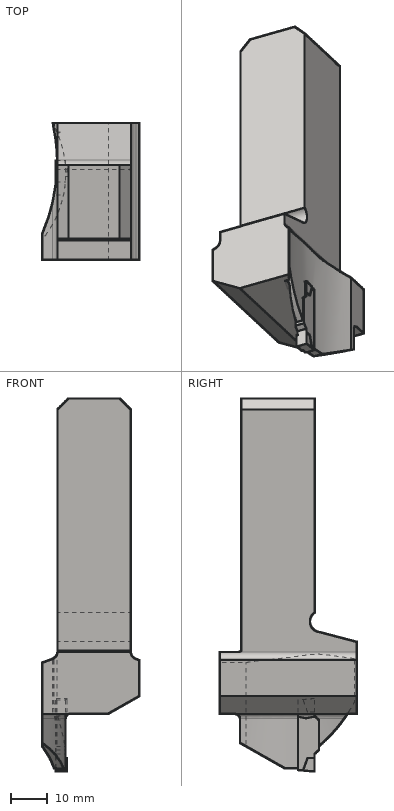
import cadquery as cq
import math

SHANK_WIDTH = 20.0
SHANK_HALF = SHANK_WIDTH / 2
TOP_Z = 101.5
TOP_CHAMFER = 3.0

HEAD_LEFT = -14.1
HEAD_RIGHT = HEAD_LEFT + 26.4
HEAD_BACK = 21.4
HEAD_FRONT = HEAD_BACK - 37.3
HEAD_BOTTOM = 15.7
SHOULDER_Z = 31.2
SHOULDER_SLOPE = math.tan(math.radians(20))
SHOULDER_FILLET = 2.0
LEDGE_Z = 32.6
LEDGE_CHAMFER = 0.5
LEDGE_CHAMFER_HEIGHT = 0.3
CORNER_BEVEL_X = 3.9
CORNER_BEVEL_Z = 20.5

NOTCH_TOP_Z = 43.2
NOTCH_DEEPEST = (8.7, 41.0)
NOTCH_END = (11.4, 38.0)
BACK_TOP_Z = 35.3

OUTER_RADIUS = 48.4
OUTER_APEX = (-10.1, 10.7)
INNER_RADIUS = 28.4
INNER_APEX = (-7.7, 7.6)
BLADE_FRONT = -10.4
BLADE_FRONT_Z = 7.8
BLADE_TIP_Z = 0.9
BLADE_TIP_Y = 1.8
BLADE_BACK = 20.8
BLADE_BACK_Z = 19.0
BLADE_BELLY = (15.0, 10.7)
ROOT_FILLET = 1.2

INSERT_LENGTH = 19.9
INSERT_LEFT = -10.5
INSERT_RIGHT = -7.7
INSERT_SEAT = 5.4
INSERT_RAKE = 9.9
INSERT_CREST = 11.2
CREST_FROM_END = 5.9
CREST_RISE_LENGTH = 1.1
END_RELIEF = 0.4
TIP_LEFT = -10.6
TIP_RIGHT = -7.4
TIP_LENGTH = 3.7
TIP_FLANK_INNER = 8.0
TIP_FLANK_OUTER = 6.8


def side_prism(outline, x_start, x_end):
    """Extrude a closed YZ outline between two X positions."""
    return outline.extrude(x_end - x_start).translate((x_start, 0, 0))


def vertical_cylinder(radius, apex):
    """Full-height cylinder whose +X extreme is at the apex."""
    return cq.Workplane("XY").center(apex[0] - radius, apex[1]).circle(radius).extrude(TOP_Z)


def make_shank_and_head():
    left_drop = (-SHANK_HALF - HEAD_LEFT) * SHOULDER_SLOPE
    right_drop = (HEAD_RIGHT - SHANK_HALF) * SHOULDER_SLOPE
    front_shape = (
        cq.Workplane("XZ", origin=(0, HEAD_BACK, 0))
        .moveTo(HEAD_LEFT, HEAD_BOTTOM)
        .lineTo(CORNER_BEVEL_X, HEAD_BOTTOM)
        .lineTo(HEAD_RIGHT, CORNER_BEVEL_Z)
        .lineTo(HEAD_RIGHT, SHOULDER_Z - right_drop)
        .lineTo(SHANK_HALF, SHOULDER_Z)
        .lineTo(SHANK_HALF, TOP_Z - TOP_CHAMFER)
        .lineTo(SHANK_HALF - TOP_CHAMFER, TOP_Z)
        .lineTo(-SHANK_HALF + TOP_CHAMFER, TOP_Z)
        .lineTo(-SHANK_HALF, TOP_Z - TOP_CHAMFER)
        .lineTo(-SHANK_HALF, SHOULDER_Z)
        .lineTo(HEAD_LEFT, SHOULDER_Z - left_drop)
        .close()
        .extrude(HEAD_BACK - HEAD_FRONT)
    )
    for side in (-SHANK_HALF, SHANK_HALF):
        corner = cq.selectors.NearestToPointSelector(
            (side, (HEAD_BACK + HEAD_FRONT) / 2, SHOULDER_Z)
        )
        front_shape = front_shape.edges("|Y").edges(corner).fillet(SHOULDER_FILLET)

    side_outline = (
        cq.Workplane("YZ")
        .moveTo(HEAD_FRONT, HEAD_BOTTOM)
        .lineTo(HEAD_FRONT, LEDGE_Z)
        .lineTo(-SHANK_HALF - LEDGE_CHAMFER, LEDGE_Z)
        .lineTo(-SHANK_HALF, LEDGE_Z + LEDGE_CHAMFER_HEIGHT)
        .lineTo(-SHANK_HALF, TOP_Z)
        .lineTo(SHANK_HALF, TOP_Z)
        .lineTo(SHANK_HALF, NOTCH_TOP_Z)
        .threePointArc(NOTCH_DEEPEST, NOTCH_END)
        .lineTo(HEAD_BACK, BACK_TOP_Z)
        .lineTo(HEAD_BACK, HEAD_BOTTOM)
        .close()
    )
    return front_shape.intersect(side_prism(side_outline, HEAD_LEFT, HEAD_RIGHT))


def make_blade():
    outline = (
        cq.Workplane("YZ")
        .moveTo(BLADE_FRONT, HEAD_BOTTOM)
        .lineTo(BLADE_FRONT, BLADE_FRONT_Z)
        .lineTo(BLADE_TIP_Y, BLADE_TIP_Z)
        .lineTo(INSERT_SEAT, BLADE_TIP_Z)
        .lineTo(INSERT_CREST, BLADE_FRONT_Z - BLADE_TIP_Z)
        .threePointArc(BLADE_BELLY, (BLADE_BACK, BLADE_BACK_Z))
        .lineTo(BLADE_FRONT, BLADE_BACK_Z)
        .close()
    )
    prism = side_prism(outline, HEAD_LEFT, INSERT_RIGHT)
    return prism.intersect(vertical_cylinder(INNER_RADIUS, INNER_APEX))


def make_insert():
    middle = INSERT_LENGTH / 2
    outline = (
        cq.Workplane("YZ")
        .moveTo(INSERT_SEAT, END_RELIEF)
        .lineTo(INSERT_RAKE, 0)
        .lineTo(INSERT_RAKE, CREST_FROM_END - CREST_RISE_LENGTH)
        .lineTo(INSERT_CREST, CREST_FROM_END)
        .lineTo(INSERT_CREST, INSERT_LENGTH - CREST_FROM_END)
        .lineTo(INSERT_RAKE, INSERT_LENGTH - CREST_FROM_END + CREST_RISE_LENGTH)
        .lineTo(INSERT_RAKE, INSERT_LENGTH)
        .lineTo(INSERT_SEAT, INSERT_LENGTH - END_RELIEF)
        .close()
    )
    bar = side_prism(outline, INSERT_LEFT, INSERT_RIGHT)

    relief_at_flank = END_RELIEF * (INSERT_RAKE - TIP_FLANK_OUTER) / (INSERT_RAKE - INSERT_SEAT)
    tip_outline = cq.Workplane("YZ").polyline([
        (INSERT_RAKE, 0),
        (INSERT_RAKE, TIP_LENGTH),
        (TIP_FLANK_INNER, TIP_LENGTH),
        (TIP_FLANK_OUTER, relief_at_flank),
    ]).close()
    tip = side_prism(tip_outline, TIP_LEFT, TIP_RIGHT)
    return bar.union(tip).union(tip.mirror("XY", (0, 0, middle)))


def make_holder(insert):
    body = make_shank_and_head()
    corner_outline = (
        cq.Workplane("YZ")
        .moveTo(INSERT_CREST, BLADE_FRONT_Z - BLADE_TIP_Z)
        .threePointArc(BLADE_BELLY, (BLADE_BACK, BLADE_BACK_Z))
        .lineTo(BLADE_BACK, SHOULDER_Z)
        .lineTo(HEAD_BACK, SHOULDER_Z)
        .lineTo(HEAD_BACK, BLADE_FRONT_Z - BLADE_TIP_Z)
        .close()
    )
    corner = side_prism(corner_outline, HEAD_LEFT, INSERT_RIGHT)
    corner = corner.intersect(vertical_cylinder(INNER_RADIUS, INNER_APEX))
    body = body.union(make_blade())
    root = cq.selectors.NearestToPointSelector((INNER_APEX[0], INNER_APEX[1], HEAD_BOTTOM))
    body = body.edges("%CIRCLE").edges(root).fillet(ROOT_FILLET)
    body = body.cut(corner)
    body = body.cut(vertical_cylinder(OUTER_RADIUS, OUTER_APEX))
    return body.cut(insert)


insert = make_insert()
holder = make_holder(insert)
result = cq.Compound.makeCompound([holder.solids().val(), insert.solids().val()])